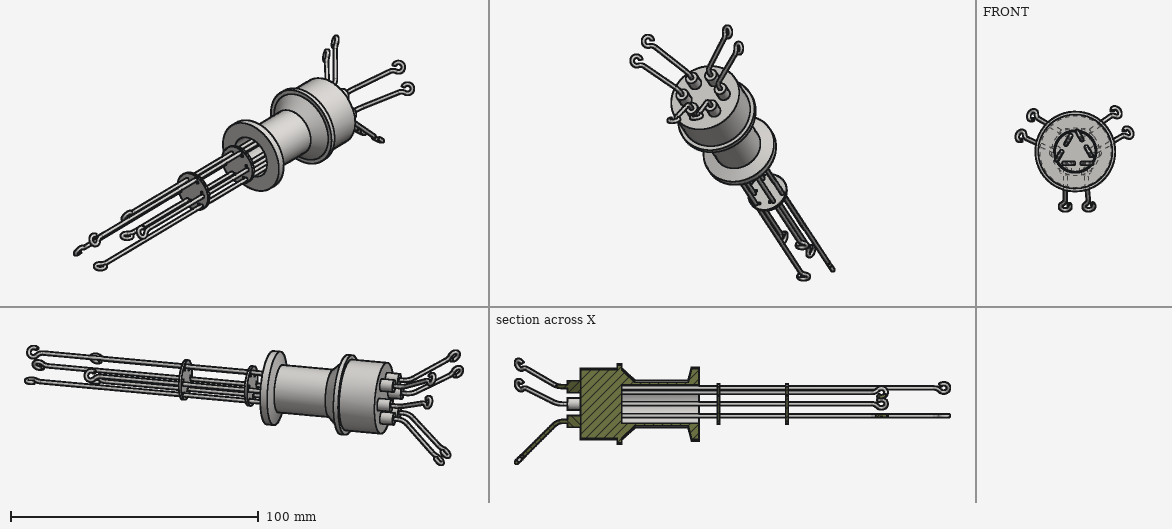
import cadquery as cq
import math


FLANGE_RADIUS = 15.0
FLANGE_RIM = 3.0
FLANGE_TAPER_ANGLE = 15
TUBE_RADIUS = 9.7
BORE_RADIUS = 8.6
CONE_START = 25.8
COLLAR_START = 31.1
COLLAR_END = 33.0
COLLAR_RADIUS = 16.2
CUP_RADIUS = 14.5
CUP_END = 47.8
FLANGE_TAPER = (FLANGE_RADIUS - TUBE_RADIUS) * math.tan(math.radians(FLANGE_TAPER_ANGLE))

WIRE_RADIUS = 0.79
EYE_RADIUS = 2.0
NECK_RADIUS = 3.0
EYE_END_ANGLE = 225
EYE_REACH = EYE_RADIUS + WIRE_RADIUS

PAIR_COUNT = 3

ROD_OFFSET = 4.7
LONG_ROD_X = 4.7
SHORT_ROD_X = -2.6
LONG_ROD_TIP = 101.5
SHORT_ROD_TIP = 76.3

DISC_RADIUS = 8.0
DISC_THICKNESS = 1.0
DISC_CENTERS = (-7.9, -35.5)
DISC_HOLE_RADIUS = 0.5
DISC_HOLE_SPACING = 1.4

SLEEVE_RADIUS = 2.5
SLEEVE_LENGTH = 5.3
LEAD_CIRCLE_RADIUS = 8.0
LEAD_STUB = 1.8
LEAD_BEND_RADIUS = 5.3
LEAD_BEND_ANGLE = 45
LEAD_RUN = 19.3
LEAD_SPLAYS = (0, 5.5)
LEAD_X = LEAD_CIRCLE_RADIUS * math.sin(math.radians(30))
LEAD_OFFSET = LEAD_CIRCLE_RADIUS * math.cos(math.radians(30))


def point_in_plane(origin, along, across, a, b):
    """Point at distance a along one direction and b along another."""
    return origin + along * a + across * b


def hook_edges(start, heading, side, center_distance):
    """Straight wire, neck bend and open eye, from start towards an eye centred on the heading line."""
    neck_to_eye = math.sqrt((NECK_RADIUS + EYE_RADIUS) ** 2 - NECK_RADIUS ** 2)
    straight = center_distance - neck_to_eye
    neck_angle = math.atan2(neck_to_eye, NECK_RADIUS)

    def on_neck(angle):
        return point_in_plane(
            start, heading, side,
            straight + NECK_RADIUS * math.sin(angle),
            NECK_RADIUS * (1 - math.cos(angle)),
        )

    def on_eye(angle):
        return point_in_plane(
            start, heading, side,
            center_distance + EYE_RADIUS * math.sin(angle),
            EYE_RADIUS * math.cos(angle),
        )

    eye_start = -neck_angle
    eye_end = math.radians(EYE_END_ANGLE)
    return [
        cq.Edge.makeLine(start, on_neck(0)),
        cq.Edge.makeThreePointArc(on_neck(0), on_neck(neck_angle / 2), on_neck(neck_angle)),
        cq.Edge.makeThreePointArc(
            on_eye(eye_start), on_eye((eye_start + eye_end) / 2), on_eye(eye_end)
        ),
    ]


def sweep_wire(edges, start, heading):
    """Round wire along a chain of edges that leaves start in the given heading."""
    path = cq.Workplane(cq.Wire.assembleEdges(edges))
    return cq.Workplane(cq.Plane(start, normal=heading)).circle(WIRE_RADIUS).sweep(path)


def disc(radius, start, end, x=0, z=0):
    """Cylinder parallel to Y between two stations."""
    return cq.Workplane(
        cq.Solid.makeCylinder(radius, end - start, cq.Vector(x, start, z), cq.Vector(0, 1, 0))
    )


def pair_angles():
    """Rotation of each wire pair about the Y axis."""
    return [pair * 360 / PAIR_COUNT for pair in range(PAIR_COUNT)]


def turn(body, angle):
    """Rotate a body about the Y axis."""
    return body.rotate((0, 0, 0), (0, 1, 0), angle)


def make_housing():
    """Flange, tube, cone, collar and cup turned as one piece, with the bore ending at the cup."""
    outline = [
        (0, 0),
        (FLANGE_RADIUS, 0),
        (FLANGE_RADIUS, FLANGE_RIM),
        (TUBE_RADIUS, FLANGE_RIM + FLANGE_TAPER),
        (TUBE_RADIUS, CONE_START),
        (CUP_RADIUS, COLLAR_START),
        (COLLAR_RADIUS, COLLAR_START),
        (COLLAR_RADIUS, COLLAR_END),
        (CUP_RADIUS, COLLAR_END),
        (CUP_RADIUS, CUP_END),
        (0, CUP_END),
    ]
    shell = cq.Workplane("XY").polyline(outline).close().revolve(360, (0, 0, 0), (0, 1, 0))
    return shell.cut(disc(BORE_RADIUS, 0, COLLAR_START))


def make_rod(x, tip):
    """Straight rod from the bottom of the bore to a hook in front of the flange."""
    root = cq.Vector(x, COLLAR_START, -ROD_OFFSET)
    heading = cq.Vector(0, -1, 0)
    center_distance = COLLAR_START + tip - EYE_REACH
    return sweep_wire(hook_edges(root, heading, cq.Vector(-1, 0, 0), center_distance), root, heading)


def make_spacer(center):
    """Thin disc with a small hole beside the place of each rod."""
    front = center - DISC_THICKNESS / 2
    back = center + DISC_THICKNESS / 2
    spacer = disc(DISC_RADIUS, front, back)
    for x in (LONG_ROD_X - DISC_HOLE_SPACING, SHORT_ROD_X + DISC_HOLE_SPACING):
        hole = disc(DISC_HOLE_RADIUS, front, back, x, -ROD_OFFSET)
        for angle in pair_angles():
            spacer = spacer.cut(turn(hole, angle))
    return spacer


def make_feedthrough():
    """Housing with its six fixed rods and the two spacer discs the rods carry."""
    parts = [make_spacer(center) for center in DISC_CENTERS]
    for x, tip in ((LONG_ROD_X, LONG_ROD_TIP), (SHORT_ROD_X, SHORT_ROD_TIP)):
        rod = make_rod(x, tip)
        parts += [turn(rod, angle) for angle in pair_angles()]
    feedthrough = make_housing()
    for part in parts:
        feedthrough = feedthrough.add(part)
    return feedthrough.combine()


def make_lead(x, splay):
    """Sleeve on the back of the cup and the bent lead that leaves it, hooked at its end."""
    lean = math.radians(splay)
    backward = cq.Vector(0, 1, 0)
    outward = cq.Vector(math.sin(lean), 0, -math.cos(lean))
    bend = math.radians(LEAD_BEND_ANGLE)
    root = cq.Vector(x, CUP_END, -LEAD_OFFSET)
    bend_start = SLEEVE_LENGTH + LEAD_STUB

    def on_bend(angle):
        return point_in_plane(
            root, backward, outward,
            bend_start + LEAD_BEND_RADIUS * math.sin(angle),
            LEAD_BEND_RADIUS * (1 - math.cos(angle)),
        )

    slope = backward * math.cos(bend) + outward * math.sin(bend)
    side = cq.Vector(-math.cos(lean), 0, -math.sin(lean))
    edges = [
        cq.Edge.makeLine(root, on_bend(0)),
        cq.Edge.makeThreePointArc(on_bend(0), on_bend(bend / 2), on_bend(bend)),
        *hook_edges(on_bend(bend), slope, side, LEAD_RUN),
    ]
    sleeve = disc(SLEEVE_RADIUS, CUP_END, CUP_END + SLEEVE_LENGTH, x, -LEAD_OFFSET)
    return sleeve.union(sweep_wire(edges, root, backward))


feedthrough = make_feedthrough()

leads = []
for x, splay in zip((-LEAD_X, LEAD_X), LEAD_SPLAYS):
    lead = make_lead(x, splay)
    for angle in pair_angles():
        leads.append(turn(lead, angle).solids().val())

result = cq.Compound.makeCompound([feedthrough.solids().val(), *leads])